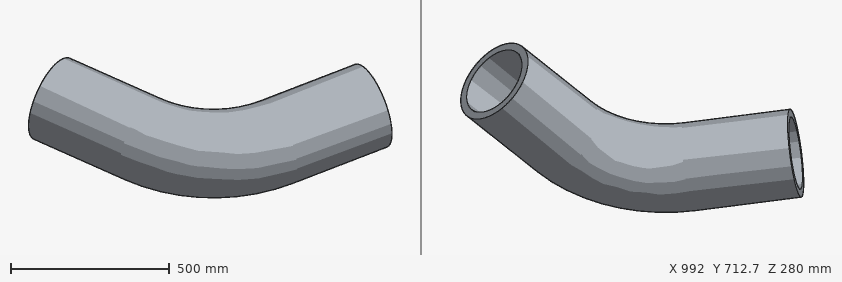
import cadquery as cq
import math

outer_diameter = 280.0
bore_diameter = 229.0
bend_radius = 1.5 * outer_diameter
bend_angle = 60.0
straight_length = 338.0


def bend_point(degrees):
    """Centreline point after turning through the given angle of the bend."""
    angle = math.radians(degrees)
    return (
        straight_length + bend_radius * math.sin(angle),
        bend_radius * (1 - math.cos(angle)),
    )


bend_end = bend_point(bend_angle)
outlet = (
    bend_end[0] + straight_length * math.cos(math.radians(bend_angle)),
    bend_end[1] + straight_length * math.sin(math.radians(bend_angle)),
)
centreline = (
    cq.Workplane("XY")
    .lineTo(straight_length, 0)
    .threePointArc(bend_point(bend_angle / 2), bend_end)
    .lineTo(*outlet)
)

result = (
    cq.Workplane("YZ")
    .circle(outer_diameter / 2)
    .circle(bore_diameter / 2)
    .sweep(centreline)
)